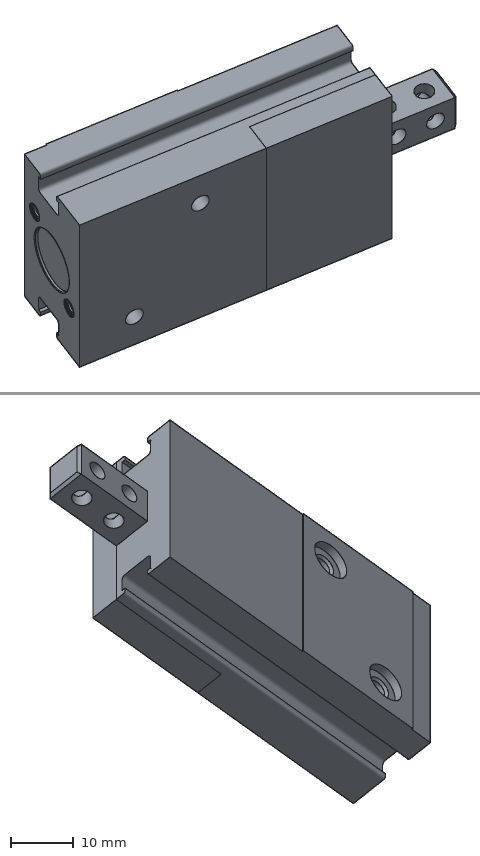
import cadquery as cq

TOTAL_LENGTH = 72.0
BODY_LENGTH = 57.0
BODY_HEIGHT = 33.0
TOTAL_THICKNESS = 18.0
RIGHT_X = TOTAL_THICKNESS / 2
PAD_X = -TOTAL_THICKNESS / 2
PAD_RAISE = 0.2
LEFT_X = PAD_X + PAD_RAISE
PAD_FRONT_Y = 4.0
PAD_LENGTH = 24.0

FINGER_WIDTH = 7.2
FINGER_LENGTH = TOTAL_LENGTH - BODY_LENGTH
FINGER_CHAMFER = 0.5
FINGER_HOLE_DIAMETER = 3.25
FINGER_HOLE_PITCH = 7.0
FINGER_HOLE_END_DISTANCE = 4.0

COVER_LEFT_X = FINGER_WIDTH / 2
COVER_LENGTH = 23.0

SLOT_X = -1.0
SLOT_MOUTH_WIDTH = 5.2
SLOT_WIDTH = 6.5
SLOT_DEPTH = 4.3
SLOT_LIP = 1.1
SLOT_FLOOR_FILLET = 0.65
SLOT_LIP_FILLET = 0.4

MOUNT_Z = 10.0
MOUNT_POSITIONS = [(22.0, MOUNT_Z), (10.0, -MOUNT_Z)]
MOUNT_DIAMETER = 3.25
MOUNT_CHAMFER_DIAMETER = 4.1
MOUNT_BORE_DIAMETER = 7.0
MOUNT_BORE_DEPTH = 1.5

PLUG_DIAMETER = 11.0
PLUG_MOUTH_DIAMETER = 11.3
PLUG_SINK = 0.6
PLUG_THICKNESS = 2.9

PORT_X = 5.55
PORT_Z = 6.0
PORT_POSITIONS = [(-PORT_X, PORT_Z), (PORT_X, -PORT_Z)]
PORT_MOUTH_DIAMETER = 3.2
PORT_STEPS = [(3.0, 0.2), (2.45, 0.35), (1.7, 0.7)]

X_AXIS = cq.Vector(1, 0, 0)
Y_AXIS = cq.Vector(0, 1, 0)
Z_AXIS = cq.Vector(0, 0, 1)


def block(x_min, x_max, y_min, length, height):
    """Box centred on Z = 0."""
    return (
        cq.Workplane("XY")
        .box(x_max - x_min, length, height, centered=(False, False, True))
        .translate((x_min, y_min, 0))
    )


def cylinder(diameter, length, start, axis):
    return cq.Workplane(cq.Solid.makeCylinder(diameter / 2, length, cq.Vector(*start), axis))


def countersink(mouth_diameter, hole_diameter, start, axis):
    """45 degree cone that narrows from the mouth to the hole."""
    depth = (mouth_diameter - hole_diameter) / 2
    cone = cq.Solid.makeCone(mouth_diameter / 2, hole_diameter / 2, depth, cq.Vector(*start), axis)
    return cq.Workplane(cone)


def make_cover():
    return block(COVER_LEFT_X, RIGHT_X, BODY_LENGTH - COVER_LENGTH, COVER_LENGTH, BODY_HEIGHT)


def make_plug():
    return cylinder(PLUG_DIAMETER, PLUG_THICKNESS, (0, PLUG_SINK, 0), Y_AXIS)


def make_finger():
    half = FINGER_WIDTH / 2
    finger = block(-half, half, BODY_LENGTH, FINGER_LENGTH, FINGER_WIDTH)
    finger = finger.faces(">Y").chamfer(FINGER_CHAMFER)
    last_hole_y = TOTAL_LENGTH - FINGER_HOLE_END_DISTANCE
    for y in (last_hole_y, last_hole_y - FINGER_HOLE_PITCH):
        finger = finger.cut(cylinder(FINGER_HOLE_DIAMETER, FINGER_WIDTH, (-half, y, 0), X_AXIS))
        finger = finger.cut(cylinder(FINGER_HOLE_DIAMETER, FINGER_WIDTH, (0, y, -half), Z_AXIS))
    return finger


def cut_slots(body):
    """T-slots with rounded floor corners and rounded outer lips."""
    top_z = BODY_HEIGHT / 2
    cavity_height = SLOT_DEPTH - SLOT_LIP
    cavity = (
        cq.Workplane("XY")
        .box(SLOT_WIDTH, BODY_LENGTH, cavity_height, centered=(True, False, False))
        .translate((SLOT_X, 0, top_z - SLOT_DEPTH))
        .edges("|Y and <Z")
        .fillet(SLOT_FLOOR_FILLET)
    )
    left_x = SLOT_X - SLOT_MOUTH_WIDTH / 2
    right_x = SLOT_X + SLOT_MOUTH_WIDTH / 2
    lip_z = top_z - SLOT_LIP
    round_z = top_z - SLOT_LIP_FILLET
    mouth = (
        cq.Workplane("XZ")
        .moveTo(left_x, lip_z)
        .lineTo(right_x, lip_z)
        .lineTo(right_x, round_z)
        .radiusArc((right_x + SLOT_LIP_FILLET, top_z), SLOT_LIP_FILLET)
        .lineTo(left_x - SLOT_LIP_FILLET, top_z)
        .radiusArc((left_x, round_z), SLOT_LIP_FILLET)
        .close()
        .extrude(-BODY_LENGTH)
    )
    slot = cavity.union(mouth)
    return body.cut(slot).cut(slot.mirror("XY"))


def cut_mounting_holes(body):
    bore_floor_x = PAD_X + MOUNT_BORE_DEPTH
    for y, z in MOUNT_POSITIONS:
        body = body.cut(cylinder(MOUNT_DIAMETER, TOTAL_THICKNESS, (PAD_X, y, z), X_AXIS))
        body = body.cut(cylinder(MOUNT_BORE_DIAMETER, MOUNT_BORE_DEPTH, (PAD_X, y, z), X_AXIS))
        body = body.cut(countersink(MOUNT_CHAMFER_DIAMETER, MOUNT_DIAMETER, (bore_floor_x, y, z), X_AXIS))
    return body


def cut_ports(body):
    rim_diameter = PORT_STEPS[0][0]
    for x, z in PORT_POSITIONS:
        mouth = (x, 0, z)
        body = body.cut(countersink(PORT_MOUTH_DIAMETER, rim_diameter, mouth, Y_AXIS))
        for diameter, depth in PORT_STEPS:
            body = body.cut(cylinder(diameter, depth, mouth, Y_AXIS))
    return body


def cut_plug_recess(body):
    """Recess that takes the plug, with a chamfered mouth."""
    mouth = (0, 0, 0)
    body = body.cut(cylinder(PLUG_DIAMETER, PLUG_SINK + PLUG_THICKNESS, mouth, Y_AXIS))
    return body.cut(countersink(PLUG_MOUTH_DIAMETER, PLUG_DIAMETER, mouth, Y_AXIS))


def make_housing(cover):
    body = block(LEFT_X, RIGHT_X, 0, BODY_LENGTH, BODY_HEIGHT)
    body = body.union(block(PAD_X, LEFT_X, PAD_FRONT_Y, PAD_LENGTH, BODY_HEIGHT))
    body = cut_slots(body)
    body = cut_mounting_holes(body)
    body = cut_ports(body)
    body = cut_plug_recess(body)
    return body.cut(cover)


cover = make_cover()
plug = make_plug()
finger = make_finger()
housing = make_housing(cover)

result = cq.Compound.makeCompound([housing.val(), cover.val(), finger.val(), plug.val()])